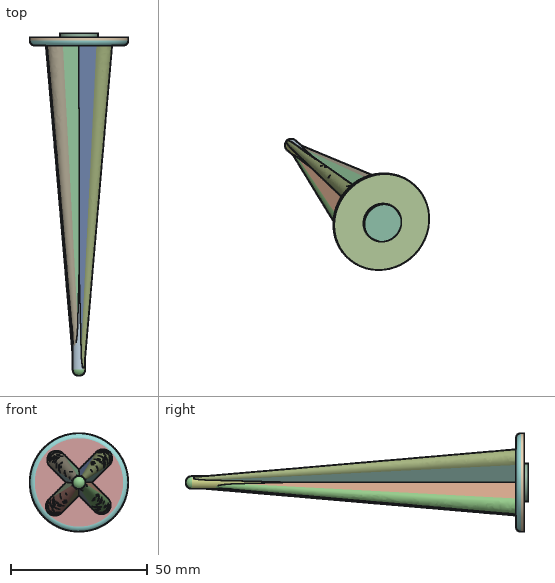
import cadquery as cq

total_length = 125.2

pad_diameter = 14.0
pad_thickness = 1.5

flange_diameter = 36.0
flange_thickness = 3.1
flange_round = 1.9

tip_radius = 2.4
base_radius = 3.4

main_base_reach = 12.4
main_tip_reach = 1.5
main_tip_radius = 0.9
main_angle = 45.0

cross_base_reach = 11.6
cross_tip_reach = 0.4
cross_tip_radius = 1.0
cross_angle = 135.0

flange_front = pad_thickness + flange_thickness
tip_start = total_length - tip_radius
blade_length = tip_start - flange_front


def section_plane(depth):
    """Plane across the spike at a distance from the back of the pad, facing the tip."""
    return cq.Workplane("XZ", origin=(0, -depth, 0))


def tapered_blade(base_reach, base_edge, tip_reach, tip_edge, angle):
    """Full-round blade centred on the axis, shrinking in width and thickness toward the tip."""
    return (
        section_plane(flange_front)
        .slot2D(2 * (base_reach + base_edge), 2 * base_edge, angle)
        .workplane(offset=blade_length)
        .slot2D(2 * (tip_reach + tip_edge), 2 * tip_edge, angle)
        .loft(ruled=True)
    )


pad = section_plane(0).circle(pad_diameter / 2).extrude(flange_front)

flange = (
    section_plane(pad_thickness)
    .circle(flange_diameter / 2)
    .extrude(flange_thickness)
    .faces("<Y")
    .edges()
    .fillet(flange_round)
)

main_blade = tapered_blade(main_base_reach, base_radius, main_tip_reach, main_tip_radius, main_angle)
cross_blade = tapered_blade(
    cross_base_reach, base_radius, cross_tip_reach, cross_tip_radius, cross_angle
)

core_rod = section_plane(flange_front).circle(tip_radius).extrude(blade_length)
dome = cq.Workplane("XY").sphere(tip_radius).translate((0, -tip_start, 0))

result = flange.union(pad).union(main_blade).union(cross_blade).union(core_rod).union(dome)